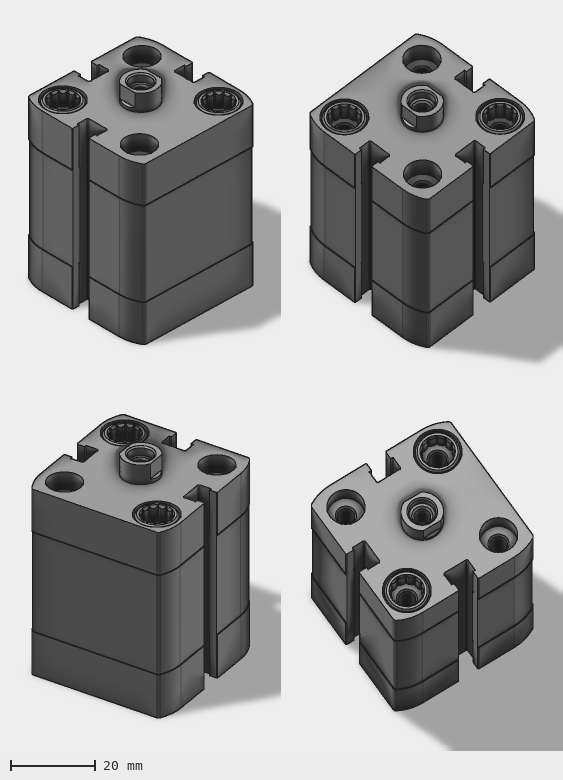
import cadquery as cq
import math

CAP_WIDTH = 39.5
BARREL_WIDTH = 39.1
CAP_HEIGHT = 12.0
ROD_PROTRUSION = 5.5
TOTAL_HEIGHT = 57.2
HOUSING_HEIGHT = TOTAL_HEIGHT - ROD_PROTRUSION
BARREL_HEIGHT = HOUSING_HEIGHT - 2 * CAP_HEIGHT

HOLE_OFFSET = 13.0
CAP_ARC_RADIUS = 12.7
ARC_CENTER_Y = CAP_WIDTH / 2 - CAP_ARC_RADIUS
CORNER_EASE = 1.0
FACE_TOLERANCE = 0.05

SLOT_NECK_WIDTH = 5.45
SLOT_CAVITY_WIDTH = 6.75
SLOT_FLOOR = 14.05
CAP_SLOT_LIP = 17.55
BARREL_SLOT_LIP = 17.4
SLOT_FLOOR_FILLET = 0.45
SLOT_ANGLES = (-90, 90, 180)

THROUGH_DIAMETER = 4.1
THREAD_DIAMETER = 5.0
COUNTERBORE_DIAMETER = 9.0
RECESS_DEPTH = 5.0

HEAD_BORE_DIAMETER = 11.5
HEAD_DIAMETER = 10.5
HEAD_CHAMFER = 0.45
SOCKET_TIP_DIAMETER = 7.5
SOCKET_ROOT_DIAMETER = 8.25
SOCKET_MOUTH_DIAMETER = 8.35
COUNTERSINK_DEPTH = 0.8
SOCKET_DEPTH = 4.7
TOOTH_COUNT = 12
FIRST_TOOTH_ANGLE = 45
TOOTH_TIP_WIDTH = 0.75
TOOTH_SHOULDER_WIDTH = 1.65
TOOTH_SHOULDER_RISE = 0.1
TOOTH_ROOT_WIDTH = 1.9

ROD_DIAMETER = 10.0
ROD_INSERTION = CAP_HEIGHT
FLAT_WIDTH = 8.7
FLAT_LENGTH = 4.25
LEDGE_DROP = 0.4
ROD_BORE_DIAMETER = 6.4
ROD_BORE_DEPTH = 2.5
ROD_BORE_CHAMFER = 0.4
ROD_THREAD_DIAMETER = 5.0
ROD_DRILL_DIAMETER = 3.95
ROD_DRILL_DEPTH = 10.3
DRILL_POINT_ANGLE = 118


def turned(points):
    """Solid of revolution about Z from (radius, height) points."""
    return cq.Workplane("XZ").polyline(points).close().revolve(360, (0, 0), (0, 1))


def side_face_box(x, half, base, height):
    """Selector for the edges that lie on the left or right face at the given X."""
    return cq.selectors.BoxSelector(
        (x - FACE_TOLERANCE, -half, base),
        (x + FACE_TOLERANCE, half, base + height),
    )


def column(width, height, base):
    """Square column with an arc at each corner that blends into the front and back faces."""
    half = width / 2
    radius = half - ARC_CENTER_Y
    reach = half - HOLE_OFFSET
    corner_y = ARC_CENTER_Y + math.sqrt(radius**2 - reach**2)
    middle_angle = math.asin(reach / radius) / 2
    middle_x = HOLE_OFFSET + radius * math.sin(middle_angle)
    middle_y = ARC_CENTER_Y + radius * math.cos(middle_angle)
    return (
        cq.Workplane("XY", origin=(0, 0, base))
        .moveTo(-HOLE_OFFSET, half)
        .lineTo(HOLE_OFFSET, half)
        .threePointArc((middle_x, middle_y), (half, corner_y))
        .lineTo(half, -corner_y)
        .threePointArc((middle_x, -middle_y), (HOLE_OFFSET, -half))
        .lineTo(-HOLE_OFFSET, -half)
        .threePointArc((-middle_x, -middle_y), (-half, -corner_y))
        .lineTo(-half, corner_y)
        .threePointArc((-middle_x, middle_y), (-HOLE_OFFSET, half))
        .close()
        .extrude(height)
        .edges(side_face_box(half, half, base, height))
        .edges("|Z")
        .fillet(CORNER_EASE)
        .edges(side_face_box(-half, half, base, height))
        .edges("|Z")
        .fillet(CORNER_EASE)
    )


def t_slot(lip, base, height):
    """Cutter for the T-slot of the +X face, later turned to each slotted face.

    The mouth flares only outside the barrel, so it eases the edges of the caps alone.
    """
    neck = SLOT_NECK_WIDTH / 2
    cavity = SLOT_CAVITY_WIDTH / 2
    mouth = CAP_WIDTH / 2
    flare_start = BARREL_WIDTH / 2
    flared = neck + mouth - flare_start
    return (
        cq.Workplane("XY", origin=(0, 0, base))
        .polyline(
            [
                (SLOT_FLOOR, cavity),
                (lip, cavity),
                (lip, neck),
                (flare_start, neck),
                (mouth, flared),
                (mouth, -flared),
                (flare_start, -neck),
                (lip, -neck),
                (lip, -cavity),
                (SLOT_FLOOR, -cavity),
            ]
        )
        .close()
        .extrude(height)
        .edges("|Z and <X")
        .fillet(SLOT_FLOOR_FILLET)
    )


def through_hole(floor):
    """Cutter for a through hole countersunk at the height of the recess floor above it."""
    inner = THROUGH_DIAMETER / 2
    outer = THREAD_DIAMETER / 2
    return turned([(0, 0), (inner, 0), (inner, floor - (outer - inner)), (outer, floor), (0, floor)])


def counterbored_hole():
    """Cutter for a plain counterbored corner hole."""
    floor = HOUSING_HEIGHT - RECESS_DEPTH
    recess = cq.Workplane("XY", origin=(0, 0, floor)).circle(COUNTERBORE_DIAMETER / 2).extrude(RECESS_DEPTH)
    return recess.union(through_hole(floor))


def spline_tooth(floor):
    """One tooth of the socket on the +X side: a narrow tip on broad shoulders."""
    tip = SOCKET_TIP_DIAMETER / 2
    shoulder = tip + TOOTH_SHOULDER_RISE
    root = SOCKET_ROOT_DIAMETER / 2
    return (
        cq.Workplane("XY", origin=(0, 0, floor))
        .polyline(
            [
                (tip, -TOOTH_TIP_WIDTH / 2),
                (shoulder, -TOOTH_SHOULDER_WIDTH / 2),
                (root, -TOOTH_ROOT_WIDTH / 2),
                (root, TOOTH_ROOT_WIDTH / 2),
                (shoulder, TOOTH_SHOULDER_WIDTH / 2),
                (tip, TOOTH_TIP_WIDTH / 2),
            ]
        )
        .close()
        .extrude(SOCKET_DEPTH)
    )


def screw_head_hole():
    """Cutter that leaves a chamfered screw head with a splined socket standing in its bore."""
    top = HOUSING_HEIGHT
    head = HEAD_DIAMETER / 2
    bore = HEAD_BORE_DIAMETER / 2
    groove = turned(
        [
            (head, top - RECESS_DEPTH),
            (bore, top - RECESS_DEPTH),
            (bore, top),
            (head - HEAD_CHAMFER, top),
            (head, top - HEAD_CHAMFER),
        ]
    )
    floor = top - SOCKET_DEPTH
    socket = cq.Workplane("XY", origin=(0, 0, floor)).circle(SOCKET_ROOT_DIAMETER / 2).extrude(SOCKET_DEPTH)
    pitch = 360 / TOOTH_COUNT
    for index in range(TOOTH_COUNT):
        angle = FIRST_TOOTH_ANGLE + index * pitch
        socket = socket.cut(spline_tooth(floor).rotate((0, 0, 0), (0, 0, 1), angle))
    tip = SOCKET_TIP_DIAMETER / 2
    mouth = SOCKET_MOUTH_DIAMETER / 2
    countersink_floor = top - COUNTERSINK_DEPTH
    countersink = turned([(0, countersink_floor), (tip, countersink_floor), (mouth, top), (0, top)])
    return groove.union(socket).union(countersink).union(through_hole(floor))


def make_housing():
    """Barrel and caps with their slots, corner holes and the seat of the rod."""
    top_cap_base = HOUSING_HEIGHT - CAP_HEIGHT
    housing = (
        column(BARREL_WIDTH, HOUSING_HEIGHT, 0)
        .union(column(CAP_WIDTH, CAP_HEIGHT, 0))
        .union(column(CAP_WIDTH, CAP_HEIGHT, top_cap_base))
    )
    slot_sections = [
        t_slot(CAP_SLOT_LIP, 0, CAP_HEIGHT),
        t_slot(BARREL_SLOT_LIP, CAP_HEIGHT, BARREL_HEIGHT),
        t_slot(CAP_SLOT_LIP, top_cap_base, CAP_HEIGHT),
    ]
    for angle in SLOT_ANGLES:
        for section in slot_sections:
            housing = housing.cut(section.rotate((0, 0, 0), (0, 0, 1), angle))
    for side in (-1, 1):
        housing = housing.cut(screw_head_hole().translate((side * HOLE_OFFSET, side * HOLE_OFFSET, 0)))
        housing = housing.cut(counterbored_hole().translate((side * HOLE_OFFSET, -side * HOLE_OFFSET, 0)))
    rod_seat = (
        cq.Workplane("XY", origin=(0, 0, HOUSING_HEIGHT - ROD_INSERTION))
        .circle(ROD_DIAMETER / 2)
        .extrude(ROD_INSERTION)
    )
    return housing.cut(rod_seat)


def wrench_flat(side):
    """Cutter for one flat of the rod, whose ledge falls away outwards."""
    inner = side * FLAT_WIDTH / 2
    outer = side * ROD_DIAMETER / 2
    ledge = TOTAL_HEIGHT - FLAT_LENGTH
    return (
        cq.Workplane("YZ")
        .polyline([(inner, TOTAL_HEIGHT), (inner, ledge), (outer, ledge - LEDGE_DROP), (outer, TOTAL_HEIGHT)])
        .close()
        .extrude(ROD_DIAMETER / 2, both=True)
    )


def rod_hole():
    """Cutter for the chamfered bore and the drilled hole below it."""
    bore = ROD_BORE_DIAMETER / 2
    thread = ROD_THREAD_DIAMETER / 2
    drill = ROD_DRILL_DIAMETER / 2
    point = drill / math.tan(math.radians(DRILL_POINT_ANGLE / 2))
    bore_floor = TOTAL_HEIGHT - ROD_BORE_DEPTH
    drill_floor = TOTAL_HEIGHT - ROD_DRILL_DEPTH
    return turned(
        [
            (0, TOTAL_HEIGHT),
            (bore + ROD_BORE_CHAMFER, TOTAL_HEIGHT),
            (bore, TOTAL_HEIGHT - ROD_BORE_CHAMFER),
            (bore, bore_floor),
            (thread, bore_floor),
            (drill, bore_floor - (thread - drill)),
            (drill, drill_floor),
            (0, drill_floor - point),
        ]
    )


def make_piston_rod():
    """Rod seated in the top cap, with two wrench flats and a stepped hole in its end."""
    rod = (
        cq.Workplane("XY", origin=(0, 0, HOUSING_HEIGHT - ROD_INSERTION))
        .circle(ROD_DIAMETER / 2)
        .extrude(ROD_INSERTION + ROD_PROTRUSION)
    )
    for side in (-1, 1):
        rod = rod.cut(wrench_flat(side))
    return rod.cut(rod_hole())


housing = make_housing()
piston_rod = make_piston_rod()
result = cq.Compound.makeCompound([housing.val(), piston_rod.val()])